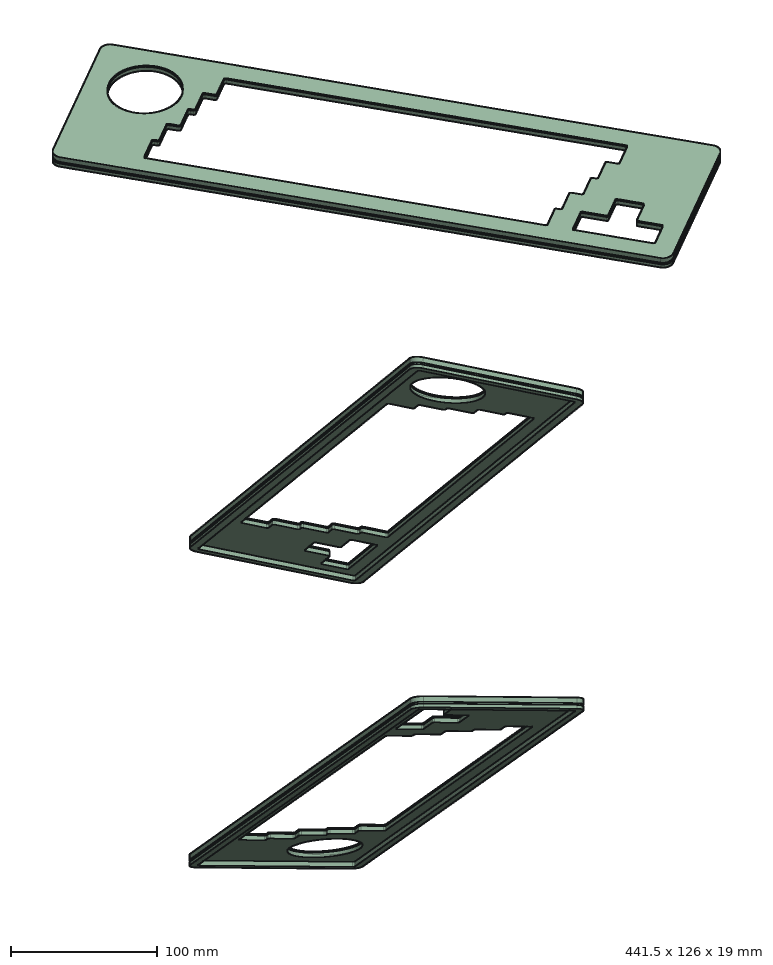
import cadquery as cq
import math

plate_length = 441.5
plate_width = 126.0
slab_height = 8.0
corner_radius = 7.0
slope_angle = 5.0

top_thickness = 4.5
rim_width = 5.7

groove_start = 4.0
groove_height = 1.5
groove_depth = 0.2

keys_per_row = 15
main_row_length = 285.5
main_front_left = -157.5
row_shifts_in_keys = [0, 0.25, 0.75, 1.0, 1.5]

arrow_center_x = 176.0
arrow_key_counts = [3, 1]

key_pitch = main_row_length / keys_per_row
key_gap = 0.5
front_row_y = -48.0
opening_corner_radius = 1.25

dial_diameter = 51.0
dial_x = -178.5
dial_y = 22.0

step_depth = 1.1
step_width = 0.2

cut_reach = 44.0


def sloped_layer(depth, height, inset):
    """Sloped layer starting `depth` below the slab top, with its outline moved in by `inset`."""
    half_length = plate_length / 2 - inset
    half_width = plate_width / 2 - inset
    rise = half_width * math.tan(math.radians(slope_angle))
    upper = -depth
    lower = -depth - height
    profile = [
        (-half_width, upper - rise),
        (half_width, upper + rise),
        (half_width, lower + rise),
        (-half_width, lower - rise),
    ]
    layer = cq.Workplane("YZ").polyline(profile).close().extrude(half_length, both=True)
    return layer.edges("|Z").fillet(corner_radius - inset)


def key_row(left, key_count, row, gap):
    """Straight-walled cutter for one row of keys."""
    length = key_count * key_pitch + 2 * gap
    width = key_pitch + 2 * gap
    cutter = cq.Workplane("XY").box(length, width, 2 * cut_reach, centered=(False, False, True))
    return cutter.translate((left - gap, front_row_y + row * key_pitch - gap, 0))


def key_opening(rows, gap):
    """Join rows given as (left, key count) from front to back, with rounded upright corners."""
    opening = cq.Workplane("XY")
    for row, (left, key_count) in enumerate(rows):
        opening = opening.union(key_row(left, key_count, row, gap))
    return opening.clean().edges("|Z").fillet(opening_corner_radius)


def all_openings(growth):
    """Cutters for the two key openings and the dial, with their walls moved out by `growth`."""
    main_rows = [(main_front_left + shift * key_pitch, keys_per_row) for shift in row_shifts_in_keys]
    arrow_rows = [(arrow_center_x - count * key_pitch / 2, count) for count in arrow_key_counts]
    dial = cq.Workplane("XY").center(dial_x, dial_y).circle(dial_diameter / 2 + growth)
    openings = dial.extrude(cut_reach, both=True)
    for rows in (main_rows, arrow_rows):
        openings = openings.union(key_opening(rows, key_gap + growth))
    return openings


slab = sloped_layer(0, slab_height, 0)
recess = sloped_layer(top_thickness, slab_height, rim_width)
groove_core = sloped_layer(0, slab_height, groove_depth)
groove = sloped_layer(groove_start, groove_height, 0).cut(groove_core)
opening_step = all_openings(step_width).intersect(sloped_layer(0, step_depth, 0))

result = slab.cut(recess).cut(groove).cut(all_openings(0)).cut(opening_step)